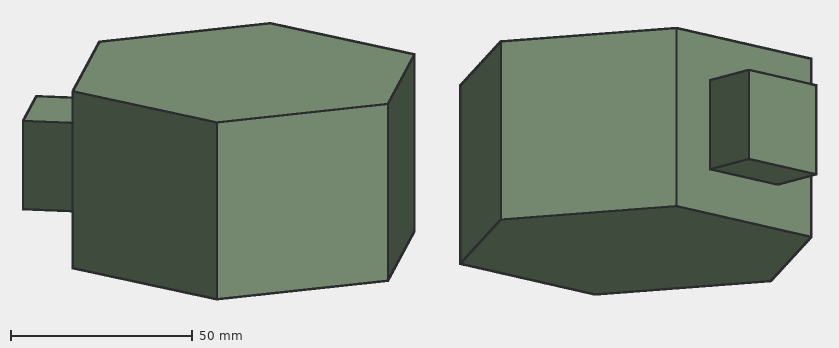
import cadquery as cq
import math

hex_radius = 50.8
block_height = hex_radius
turn = 164.4
tab_width = hex_radius / 2
tab_height = block_height / 2
tab_length = 15.7

face_distance = hex_radius * math.cos(math.radians(30))
tab_direction = turn + 30


def make_block():
    """Upright hexagonal prism, centred on the origin."""
    prism = cq.Workplane("XY").polygon(6, 2 * hex_radius).extrude(block_height / 2, both=True)
    return prism.rotate((0, 0, 0), (0, 0, 1), turn)


def make_tab():
    """Rectangular tab resting against the middle of one flat side."""
    tab = cq.Workplane("XY").box(tab_length, tab_width, tab_height)
    tab = tab.translate((face_distance + tab_length / 2, 0, 0))
    return tab.rotate((0, 0, 0), (0, 0, 1), tab_direction)


block = make_block()
tab = make_tab()

result = cq.Compound.makeCompound([block.val(), tab.val()])